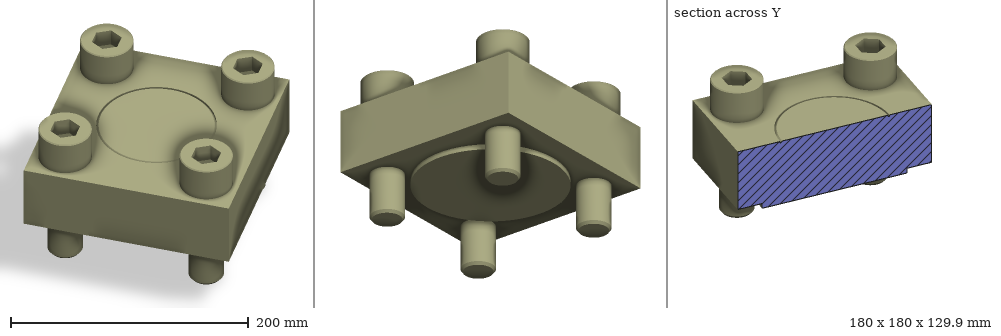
import cadquery as cq
import math

plate_side = 180.0
plate_thickness = 57.6

plug_diameter = 101.5
plug_chamfer = 2.0
spigot_diameter = 135.0
spigot_height = 4.7

screw_pitch = 123.8
shank_diameter = 30.0
shank_protrusion = 42.3
shank_chamfer_width = 2.0
shank_chamfer_height = 2.5
head_diameter = 45.0
head_height = shank_diameter
head_chamfer = 0.9
socket_across_flats = 22.3
socket_depth = head_height / 2


def make_plate():
    """Plate with the spigot below and a bevelled groove around the plug."""
    plate = cq.Workplane("XY").box(
        plate_side, plate_side, plate_thickness, centered=(True, True, False)
    )
    spigot = cq.Workplane("XY").circle(spigot_diameter / 2).extrude(-spigot_height)

    plug_radius = plug_diameter / 2
    groove = (
        cq.Workplane("XZ")
        .moveTo(plug_radius - plug_chamfer, plate_thickness)
        .lineTo(plug_radius, plate_thickness)
        .lineTo(plug_radius, plate_thickness - plug_chamfer)
        .close()
        .revolve(360, (0, 0, 0), (0, 1, 0))
    )
    return plate.union(spigot).cut(groove)


def make_screw():
    """Screw on the Z axis, its head seated on top of the plate."""
    head = (
        cq.Workplane("XY", origin=(0, 0, plate_thickness))
        .circle(head_diameter / 2)
        .extrude(head_height)
        .faces(">Z")
        .chamfer(head_chamfer)
    )
    shank = (
        cq.Workplane("XY", origin=(0, 0, -shank_protrusion))
        .circle(shank_diameter / 2)
        .extrude(shank_protrusion + plate_thickness)
        .faces("<Z")
        .chamfer(shank_chamfer_height, shank_chamfer_width)
    )
    return head.union(shank)


def make_socket():
    """Hexagonal recess with two flats facing along X."""
    across_corners = socket_across_flats / math.cos(math.pi / 6)
    return (
        cq.Workplane("XY", origin=(0, 0, plate_thickness + head_height))
        .transformed(rotate=(0, 0, 30))
        .polygon(6, across_corners)
        .extrude(-socket_depth)
    )


result = make_plate()
screw = make_screw().cut(make_socket())
for x in (-screw_pitch / 2, screw_pitch / 2):
    for y in (-screw_pitch / 2, screw_pitch / 2):
        result = result.union(screw.translate((x, y, 0)))